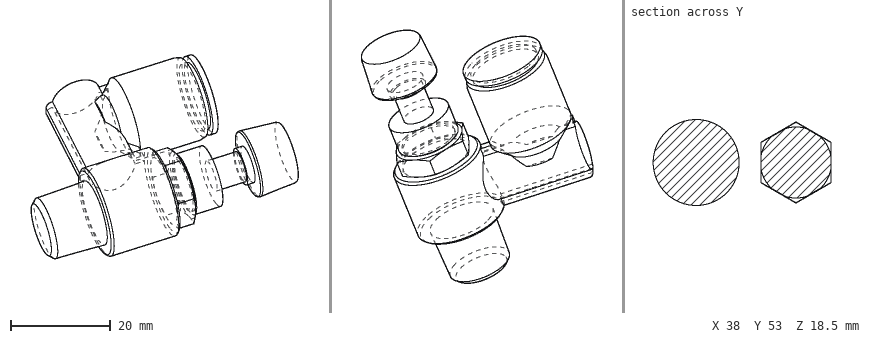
import cadquery as cq
import math

total_length = 52.95

thread_tip_radius = 5.45
thread_small_radius = 6.38
thread_large_radius = 6.7
thread_chamfer_length = 1.0

body_radius = 9.25
body_bottom = 11.55
body_top = 26.4
body_chamfer = 0.5
body_middle = (body_bottom + body_top) / 2

hex_across_flats = 14.0
hex_top = 30.5
hex_chamfer_drop = 0.4
neck_radius = 5.6
neck_top = 30.95
collar_radius = 6.38
collar_top = 36.65

stem_radius = 3.2
stem_top = 43.0
stem_flange_radius = 3.84
knob_bottom = 44.55
knob_large_radius = 6.95
knob_small_radius = 6.4
knob_bottom_chamfer_length = 0.4
knob_top_chamfer_length = 0.4
knob_chamfer_depth = 0.15

port_x = -19.95
port_radius = 8.655
port_bottom = 25.95
port_top = 40.6
port_chamfer_length = 1.15
port_chamfer_depth = 0.3
port_neck_radius = 7.015
ring_radius = 8.25
ring_bottom = 41.7
ring_top = 42.85

foot_top = 23.2
foot_bottom = 20.7
foot_top_radius = 5.9
foot_bottom_radius = 5.5

overall_width = 38.0
tube_radius = 5.1
tube_end_x = body_radius - overall_width
web_height = 13.55
web_thickness = 1.85
web_corner_height = web_height / 2 - tube_radius
web_corner_radius = 2.0


def turned(axis_x, profile):
    """Revolve a (radius, y) profile about a line parallel to Y at the given X."""
    closed = [(0, profile[0][1])] + profile + [(0, profile[-1][1])]
    solid = cq.Workplane("XY").polyline(closed).close().revolve(360, (0, 0, 0), (0, 1, 0))
    return solid.translate((axis_x, 0, 0))


def disc(radius, bottom, top):
    """Cylinder on the valve axis."""
    return turned(0, [(radius, bottom), (radius, top)])


def make_thread():
    return turned(0, [
        (thread_tip_radius, 0),
        (thread_small_radius, thread_chamfer_length),
        (thread_large_radius, body_bottom),
    ])


def make_body():
    body = disc(body_radius, body_bottom, body_top)
    return body.edges("%CIRCLE").chamfer(body_chamfer)


def make_hexagon():
    """Hexagon with corners toward +Z and -Z, coned at both ends."""
    corner_radius = hex_across_flats / math.sqrt(3)
    corners = [
        (corner_radius * math.sin(math.radians(60 * i)), corner_radius * math.cos(math.radians(60 * i)))
        for i in range(6)
    ]
    prism = cq.Workplane("XZ").polyline(corners).close().extrude(body_top - hex_top)
    prism = prism.translate((0, body_top, 0))
    corner_cone = turned(0, [
        (hex_across_flats / 2, body_top),
        (corner_radius, body_top + hex_chamfer_drop),
        (corner_radius, hex_top - hex_chamfer_drop),
        (hex_across_flats / 2, hex_top),
    ])
    return prism.intersect(corner_cone)


def make_knob():
    return turned(0, [
        (knob_large_radius - knob_chamfer_depth, knob_bottom),
        (knob_large_radius, knob_bottom + knob_bottom_chamfer_length),
        (knob_small_radius, total_length - knob_top_chamfer_length),
        (knob_small_radius - knob_chamfer_depth, total_length),
    ])


def make_port():
    return turned(port_x, [
        (foot_bottom_radius, foot_bottom),
        (foot_top_radius, foot_top),
        (port_radius, port_bottom),
        (port_radius, port_top - port_chamfer_length),
        (port_radius - port_chamfer_depth, port_top),
        (port_neck_radius, port_top),
        (port_neck_radius, ring_bottom),
        (ring_radius, ring_bottom),
        (ring_radius, ring_top),
    ])


def corner_inset(drop):
    """Distance of the web's corner arc from the end face at a drop below the tube."""
    return web_corner_radius - math.sqrt(web_corner_radius**2 - drop**2)


def make_cross_tube():
    """Round tube from its free end to the valve axis, with a web above and below."""
    length = -tube_end_x
    tube = cq.Workplane("YZ").circle(tube_radius).extrude(length)
    half_height = web_height / 2
    drop_middle = web_corner_height / 2
    web = (
        cq.Workplane("XY")
        .moveTo(length, -half_height)
        .lineTo(corner_inset(web_corner_height), -half_height)
        .threePointArc((corner_inset(drop_middle), -tube_radius - drop_middle), (0, -tube_radius))
        .lineTo(0, half_height)
        .lineTo(length, half_height)
        .close()
        .extrude(web_thickness / 2, both=True)
    )
    return tube.union(web).translate((tube_end_x, body_middle, 0))


result = (
    make_body()
    .union(make_thread())
    .union(make_hexagon())
    .union(disc(neck_radius, hex_top, neck_top))
    .union(disc(collar_radius, neck_top, collar_top))
    .union(disc(stem_radius, collar_top, stem_top))
    .union(disc(stem_flange_radius, stem_top, knob_bottom))
    .union(make_knob())
    .union(make_cross_tube())
    .union(make_port())
)